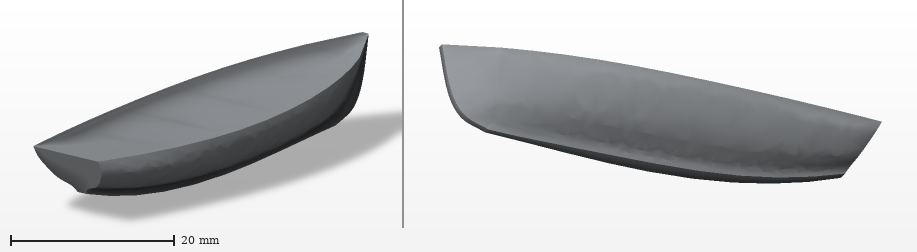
import cadquery as cq

length = 56.3
depth = 11.75
max_beam = 18.3
stern_y = -length / 2
bow_y = length / 2
transom_rake = 3.05
bow_station_y = 21.95
bow_keel_z = 1.4
stem_half_width = 0.5
keel_half_width = 1.3
clearance = 2.8
trim_height = 0.3

height_fractions = (0, 0.12, 0.25, 0.5, 0.75, 1)

transom_shape = (0.22, 0.55, 0.83, 0.98)
midship_shape = (0.23, 0.5, 0.78, 0.93)
bow_shape = (0.22, 0.42, 0.68, 0.86)

stations = [
    (stern_y, stern_y + transom_rake, 5.25, 8.65, 3.05, 0.75, transom_shape),
    (-18.1, -17.15, 7.55, 8.45, 1.1, 1.0, transom_shape),
    (-8.1, -7.9, 8.9, 8.5, 0.1, 1.25, midship_shape),
    (1.9, 1.9, 9.05, 8.95, 0.1, keel_half_width, midship_shape),
    (11.95, 11.95, 7.75, 9.75, 0.7, 0.9, midship_shape),
    (bow_station_y, bow_station_y, 4.4, 10.8, bow_keel_z, stem_half_width, bow_shape),
]

stem_profile = [
    (bow_station_y, bow_keel_z),
    (23.35, 1.9),
    (24.95, 2.65),
    (26.4, 4.45),
    (27.1, 6.4),
    (bow_y, depth),
    (bow_y + 0.05, depth + trim_height),
]


def station_curve(station):
    """Starboard side points of one station, from keel to just above the deck."""
    deck_y, keel_y, half_beam, deck_z, keel_z, keel_half, shape = station
    half_widths = [keel_half] + [half_beam * fraction for fraction in shape] + [half_beam] * 2
    trim_fraction = 1 + trim_height / (deck_z - keel_z)
    return [
        cq.Vector(half_width, keel_y + t * (deck_y - keel_y), keel_z + t * (deck_z - keel_z))
        for half_width, t in zip(half_widths, height_fractions + (trim_fraction,))
    ]


def mirrored(points):
    """The same points on the port side."""
    return [cq.Vector(-p.x, p.y, p.z) for p in points]


def section_wire(points):
    """Closed hull section: keel, starboard side, deck, port side."""
    opposite = mirrored(points)
    return cq.Wire.assembleEdges([
        cq.Edge.makeLine(opposite[0], points[0]),
        cq.Edge.makeSpline(points),
        cq.Edge.makeLine(points[-1], opposite[-1]),
        cq.Edge.makeSpline(opposite[::-1]),
    ])


def side_face(aft, fore):
    """One side of the bow, ruled from the bow station to the stem."""
    return cq.Face.makeRuledSurface(cq.Edge.makeSpline(aft), cq.Edge.makeSpline(fore))


def bow_solid(station, stem):
    """Wedge from the bow station to the curved stem, which meet at the keel."""
    station_port = mirrored(station)
    stem_port = mirrored(stem)
    deck = cq.Face.makeRuledSurface(
        cq.Edge.makeLine(station[-1], station_port[-1]),
        cq.Edge.makeLine(stem[-1], stem_port[-1]),
    )
    faces = [
        side_face(station, stem),
        side_face(station_port, stem_port),
        deck,
        cq.Face.makeFromWires(section_wire(station)),
        cq.Face.makeRuledSurface(cq.Edge.makeSpline(stem), cq.Edge.makeSpline(stem_port)),
    ]
    return cq.Solid.makeSolid(cq.Shell.makeShell(faces)).fix()


station_curves = [station_curve(station) for station in stations]
stem_curve = [cq.Vector(stem_half_width, y, z) for y, z in stem_profile]

main_hull = cq.Solid.makeLoft([section_wire(points) for points in station_curves])
bow = bow_solid(station_curves[-1], stem_curve)


deck_line = [(station[0], station[3]) for station in stations] + [(bow_y, depth)]
above_deck = (
    cq.Workplane("YZ", origin=(-max_beam, 0, 0))
    .moveTo(*deck_line[0])
    .spline(deck_line[1:], includeCurrent=True)
    .lineTo(bow_y + clearance, depth)
    .lineTo(bow_y + clearance, 2 * depth)
    .lineTo(stern_y - clearance, 2 * depth)
    .lineTo(stern_y - clearance, deck_line[0][1])
    .close()
    .extrude(2 * max_beam)
)

hull = cq.Workplane("XY").newObject([main_hull]).union(cq.Workplane("XY").newObject([bow]))
result = hull.cut(above_deck).solids()